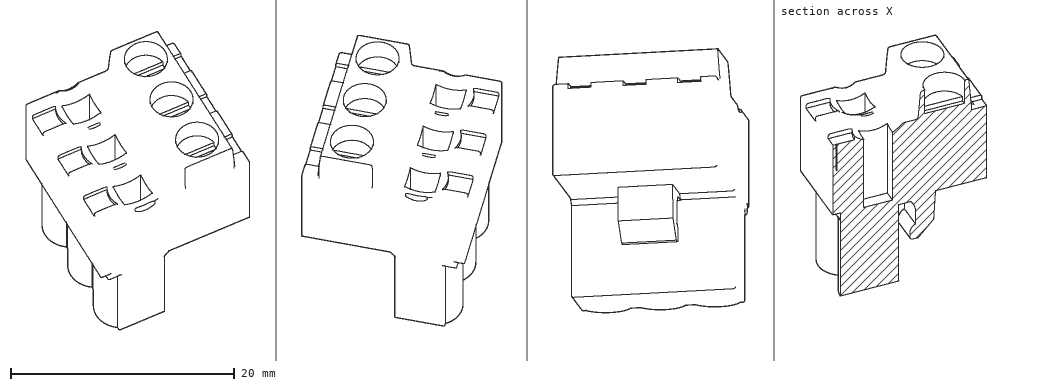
import cadquery as cq
import math

PITCH = 5.0
POLES = 3
WIDTH = POLES * PITCH
POLE_X = [(i - (POLES - 1) / 2) * PITCH for i in range(POLES)]
HEIGHT = 20.5
ROUND = 0.25

BACK_Y = WIDTH / 2
FRONT_Y = -BACK_Y
BODY_TOP_Z = 17.5
BODY_BACK_BOTTOM_Z = 8.98
BODY_FRONT_BOTTOM_Z = 9.22

BLOCK_Y = 3.4
BLOCK_TOP_DEPTH = 4.75
BLOCK_DRAFT = 0.25

PLUG_BACK_Y = -1.07
PLUG_FRONT_Y = -5.68
PLUG_TOP_Z = 8.4
PLUG_BEVEL_Z = 8.53
PLUG_BEVEL_RUN = 0.4
STEP_Y = -6.76
RIB_CHORD = 4.1

SCREW_HOLE_RADIUS = 1.93
SCREW_HEAD_Z = 18.4
SCREW_SLOT_WIDTH = 0.74
SCREW_SLOT_DEPTH = 0.5

FUNNEL_Y = -3.1
FUNNEL_SPHERE_RADIUS = 3.14
FUNNEL_LIP_RADIUS = 0.62
FUNNEL_WALL_ANGLE = math.radians(45)
SADDLE_HALF_CHORD = 0.7
SADDLE_DEPTH = 0.08
SADDLE_LENGTH = 0.78
SPILLWAY_RADIUS = 1.89
SPILLWAY_END_Z = 16.95
WIRE_HOLE_X = 2.25
WIRE_HOLE_Y = 2.79
WIRE_HOLE_BOTTOM_Z = 9.22

CHANNEL_WIDTH = 2.1
CHANNEL_DEPTH = 0.5
CHANNEL_END_RADIUS = 2.32

HOOK_WIDTH = PITCH
HOOK_ROOT_BACK_Y = 2.55
HOOK_ROOT_FRONT_Y = 0.1
HOOK_ROOT_Z = 8.49
HOOK_ROOT_RADIUS = 2.45
HOOK_BEND_Y = 2.35
HOOK_BEND_Z = 5.9
HOOK_HEEL_Y = 0.82
HOOK_BOTTOM_Z = 4.26
HOOK_TIP_Y = -0.02
HOOK_TIP_RADIUS = 0.37
HOOK_TIP_TOP_Z = 5.12
HOOK_CATCH_RADIUS = 0.92
HOOK_NECK_Y = 0.55
HOOK_NECK_TOP_Z = 7.5


def box(x_range, y_range, z_range):
    """Axis-aligned box between the given limits."""
    size = [high - low for low, high in (x_range, y_range, z_range)]
    return (
        cq.Workplane("XY")
        .box(*size, centered=False)
        .translate((x_range[0], y_range[0], z_range[0]))
    )


def extrude_along_x(outline, width):
    """Extrude an outline drawn in (Y, Z), centred on X = 0."""
    return outline.extrude(width / 2, both=True)


block_top_back = BLOCK_Y + BLOCK_TOP_DEPTH / 2
block_top_front = BLOCK_Y - BLOCK_TOP_DEPTH / 2
block_foot_back = block_top_back + BLOCK_DRAFT
block_foot_front = block_top_front - BLOCK_DRAFT


def make_housing():
    outline = cq.Workplane("YZ").polyline([
        (BACK_Y, BODY_BACK_BOTTOM_Z),
        (BACK_Y, BODY_TOP_Z),
        (block_foot_back, BODY_TOP_Z),
        (block_top_back, HEIGHT),
        (block_top_front, HEIGHT),
        (block_foot_front, BODY_TOP_Z),
        (FRONT_Y, BODY_TOP_Z),
        (FRONT_Y, BODY_FRONT_BOTTOM_Z),
        (STEP_Y, BODY_FRONT_BOTTOM_Z),
        (STEP_Y, PLUG_TOP_Z),
        (PLUG_FRONT_Y, PLUG_TOP_Z),
        (PLUG_FRONT_Y, 0),
        (PLUG_BACK_Y, 0),
        (PLUG_BACK_Y, PLUG_BEVEL_Z),
        (PLUG_BACK_Y + PLUG_BEVEL_RUN, BODY_BACK_BOTTOM_Z),
    ]).close()
    housing = extrude_along_x(outline, WIDTH)
    upper_edges = cq.selectors.BoxSelector(
        (-WIDTH, -WIDTH, BODY_TOP_Z - ROUND), (WIDTH, WIDTH, HEIGHT + ROUND)
    )
    housing = housing.edges("|X").edges(upper_edges).fillet(ROUND)
    return housing.faces("<X or >X").edges().fillet(ROUND)


def make_end_draft(side):
    """Wedge that leans one end wall of the screw block inwards; side is -1 or 1."""
    return (
        cq.Workplane("XZ")
        .polyline([
            (side * WIDTH / 2, BODY_TOP_Z),
            (side * (WIDTH / 2 - BLOCK_DRAFT), HEIGHT),
            (side * WIDTH / 2, HEIGHT),
        ])
        .close()
        .extrude(WIDTH / 2, both=True)
    )


def make_rib(x):
    """Rounded rib on the front of the plug."""
    half_chord = RIB_CHORD / 2
    return (
        cq.Workplane("XY")
        .moveTo(x - half_chord, PLUG_BACK_Y - ROUND)
        .lineTo(x - half_chord, PLUG_FRONT_Y)
        .threePointArc((x, STEP_Y), (x + half_chord, PLUG_FRONT_Y))
        .lineTo(x + half_chord, PLUG_BACK_Y - ROUND)
        .close()
        .extrude(PLUG_TOP_Z)
    )


def make_hook():
    outline = (
        cq.Workplane("YZ")
        .moveTo(HOOK_ROOT_BACK_Y, BODY_BACK_BOTTOM_Z)
        .lineTo(HOOK_BEND_Y, HOOK_BEND_Z)
        .lineTo(HOOK_HEEL_Y, HOOK_BOTTOM_Z)
        .lineTo(HOOK_TIP_Y + HOOK_TIP_RADIUS, HOOK_BOTTOM_Z)
        .radiusArc((HOOK_TIP_Y, HOOK_BOTTOM_Z + HOOK_TIP_RADIUS), HOOK_TIP_RADIUS)
        .lineTo(HOOK_TIP_Y, HOOK_TIP_TOP_Z)
        .radiusArc((HOOK_NECK_Y, HOOK_BEND_Z), HOOK_CATCH_RADIUS)
        .lineTo(HOOK_NECK_Y, HOOK_NECK_TOP_Z)
        .radiusArc((HOOK_ROOT_FRONT_Y, HOOK_ROOT_Z), -HOOK_ROOT_RADIUS)
        .lineTo(PLUG_BACK_Y, HOOK_ROOT_Z)
        .lineTo(PLUG_BACK_Y, BODY_BACK_BOTTOM_Z)
        .close()
    )
    return extrude_along_x(outline, HOOK_WIDTH)


def make_screw_hole(x):
    """Round hole down to the screw head, with the driver slot in the head."""
    centre = cq.Workplane("XY", origin=(x, BLOCK_Y, SCREW_HEAD_Z))
    hole = centre.circle(SCREW_HOLE_RADIUS).extrude(HEIGHT - SCREW_HEAD_Z)
    slot_strip = centre.rect(SCREW_SLOT_WIDTH, 2 * SCREW_HOLE_RADIUS).extrude(-SCREW_SLOT_DEPTH)
    slot = centre.circle(SCREW_HOLE_RADIUS).extrude(-SCREW_SLOT_DEPTH).intersect(slot_strip)
    return hole.union(slot)


def make_funnel(x):
    """Spherical bowl with a rounded rim, and the rectangular wire hole below it."""
    def lip_point(angle):
        return (
            rim_radius - FUNNEL_LIP_RADIUS * math.sin(angle),
            BODY_TOP_Z - FUNNEL_LIP_RADIUS * (1 - math.cos(angle)),
        )

    def bowl_point(angle):
        return (
            FUNNEL_SPHERE_RADIUS * math.sin(angle),
            sphere_z - FUNNEL_SPHERE_RADIUS * math.cos(angle),
        )

    rim_radius = (FUNNEL_SPHERE_RADIUS + FUNNEL_LIP_RADIUS) * math.sin(FUNNEL_WALL_ANGLE)
    meeting_z = lip_point(FUNNEL_WALL_ANGLE)[1]
    sphere_z = meeting_z + FUNNEL_SPHERE_RADIUS * math.cos(FUNNEL_WALL_ANGLE)
    bowl = (
        cq.Workplane("XZ")
        .moveTo(*bowl_point(0))
        .threePointArc(bowl_point(FUNNEL_WALL_ANGLE / 2), bowl_point(FUNNEL_WALL_ANGLE))
        .threePointArc(lip_point(FUNNEL_WALL_ANGLE / 2), lip_point(0))
        .lineTo(0, BODY_TOP_Z)
        .close()
        .revolve(360, (0, 0), (0, 1))
        .translate((x, FUNNEL_Y, 0))
    )
    wire_hole = (
        cq.Workplane("XY", origin=(x, FUNNEL_Y, WIRE_HOLE_BOTTOM_Z))
        .rect(WIRE_HOLE_X, WIRE_HOLE_Y)
        .extrude(BODY_TOP_Z - WIRE_HOLE_BOTTOM_Z)
    )
    return bowl.union(wire_hole)


def make_saddle(x):
    """Shallow round groove along X between two neighbouring funnels."""
    radius = (SADDLE_HALF_CHORD**2 + SADDLE_DEPTH**2) / (2 * SADDLE_DEPTH)
    axis_z = BODY_TOP_Z - SADDLE_DEPTH + radius
    groove = cq.Workplane("YZ").center(FUNNEL_Y, axis_z).circle(radius)
    return extrude_along_x(groove, SADDLE_LENGTH).translate((x, 0, 0))


def make_spillway(side):
    """Round groove falling outwards at 45 degrees through the rim at one end wall."""
    axis_rise = SPILLWAY_RADIUS * math.sqrt(2)
    wall_point = (side * WIDTH / 2, FUNNEL_Y, SPILLWAY_END_Z + axis_rise)
    sloping_plane = cq.Plane(origin=wall_point, xDir=(0, 1, 0), normal=(side, 0, -1))
    groove = cq.Workplane(sloping_plane).circle(SPILLWAY_RADIUS)
    return groove.extrude(2 * SPILLWAY_RADIUS, both=True)


def make_channels(x):
    """Shallow channels from the front and back edges of the housing top."""
    x_range = (x - CHANNEL_WIDTH / 2, x + CHANNEL_WIDTH / 2)
    z_range = (BODY_TOP_Z - CHANNEL_DEPTH, BODY_TOP_Z)
    funnel_wall = (
        cq.Workplane("XY", origin=(x, FUNNEL_Y, z_range[0]))
        .circle(CHANNEL_END_RADIUS)
        .extrude(CHANNEL_DEPTH)
    )
    front = box(x_range, (FRONT_Y, FUNNEL_Y), z_range).cut(funnel_wall)
    back = box(x_range, (block_foot_back, BACK_Y), z_range)
    return front.union(back)


result = make_housing()
for side in (-1, 1):
    result = result.cut(make_end_draft(side))
result = result.union(make_hook())
for pole_x in POLE_X:
    result = result.union(make_rib(pole_x))
for pole_x in POLE_X:
    result = result.cut(make_channels(pole_x))
    result = result.cut(make_screw_hole(pole_x))
    result = result.cut(make_funnel(pole_x))
for saddle_x in [(left + right) / 2 for left, right in zip(POLE_X, POLE_X[1:])]:
    result = result.cut(make_saddle(saddle_x))
for side in (-1, 1):
    result = result.cut(make_spillway(side))